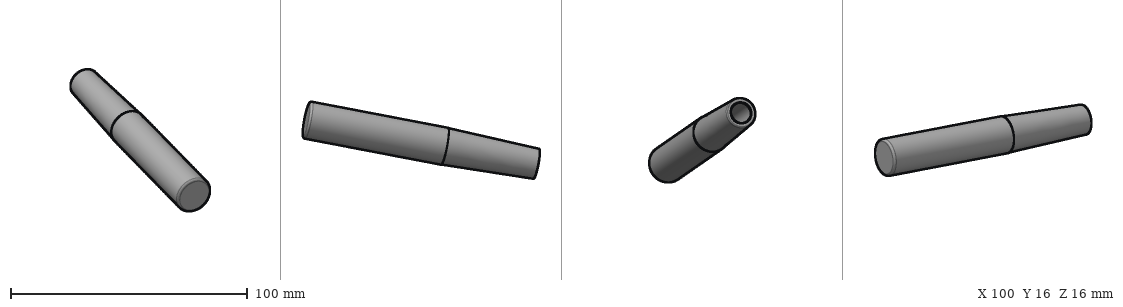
import cadquery as cq

length = 100.0
shank_diameter = 16.0
end_rounding = 1.0

neck_length = 40.0
tip_diameter = 13.0
neck_base_diameter = 15.8
tip_rounding = 0.5

bore_diameter = 8.8
bore_depth = 30.0
mouth_diameter = 9.1
mouth_depth = 0.5

tip_x = -length / 2
end_x = length / 2
step_x = tip_x + neck_length


def make_body():
    """Revolve the cone and cylinder, then round the edges of both end faces."""
    profile = cq.Workplane("XZ").polyline([
        (tip_x, 0),
        (tip_x, tip_diameter / 2),
        (step_x, neck_base_diameter / 2),
        (step_x, shank_diameter / 2),
        (end_x, shank_diameter / 2),
        (end_x, 0),
    ]).close()
    body = profile.revolve(360, (0, 0, 0), (1, 0, 0))
    body = body.faces("<X").edges().fillet(tip_rounding)
    return body.faces(">X").edges().fillet(end_rounding)


def make_bore():
    """Revolve the flat-bottomed bore together with its wider mouth."""
    bore_radius = bore_diameter / 2
    mouth_radius = mouth_diameter / 2
    profile = cq.Workplane("XZ").polyline([
        (tip_x, 0),
        (tip_x, mouth_radius),
        (tip_x + mouth_depth, mouth_radius),
        (tip_x + mouth_depth, bore_radius),
        (tip_x + bore_depth, bore_radius),
        (tip_x + bore_depth, 0),
    ]).close()
    return profile.revolve(360, (0, 0, 0), (1, 0, 0))


result = make_body().cut(make_bore())